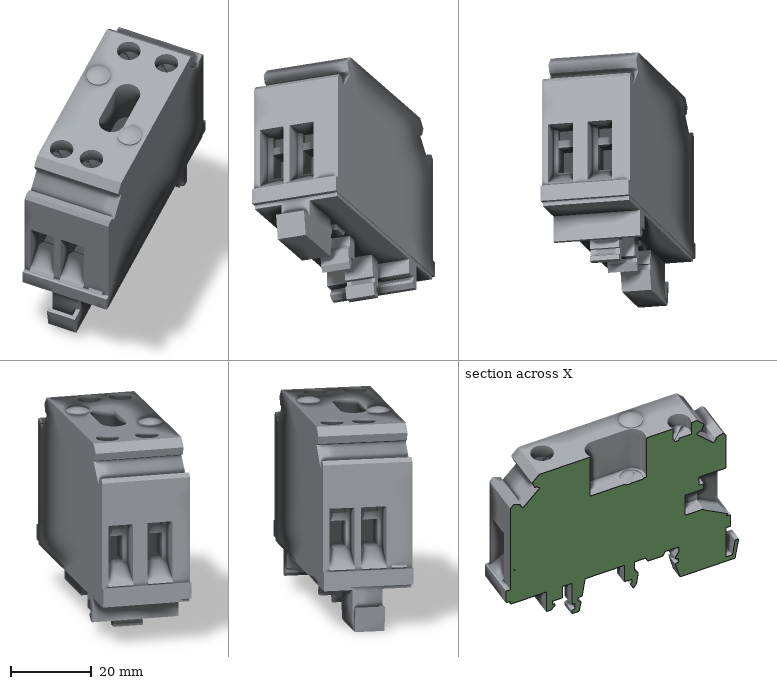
import cadquery as cq

overall_length = 64.75

width = 22.55
body_half_length = 30.0
top_z = 39.95
base_side_inset = 0.2
flange_half_length = 31.2
flange_bottom_z = 1.05
flange_top_z = 5.0

lip_reach = 0.65
lip_root_reach = 0.1
lip_tip_z = 5.4
lip_top_z = 5.9

terminal_width = 6.35
front_terminals_x = (-6.55, 1.5)
rear_terminals_x = (-3.55, 6.55)
side_lip_x = 7.9
side_lip_width = 3.7

entry_top_z = 20.85
entry_mouth_depth = 5.3
entry_throat_depth = 6.2
entry_side_taper = 1.0
entry_floor_end_z = 9.6
throat_width = terminal_width - 2 * entry_side_taper
clamp_bottom_z = 9.9
clamp_top_z = 16.4
clamp_depth = 5.2
relief_bottom_z = 18.25
relief_depth = 1.3

screw_y = 17.75
screw_diameter = 5.8
screw_depth = 3.8
driver_slot_length = 5.5
driver_slot_width = 0.7
driver_slot_depth = 0.65
driver_slot_angle = -45

opening_x = 1.5
opening_length = 16.2
opening_width = 6.5
opening_depth = 12.95
adjuster_y = -4.4
adjuster_recess = 0.3
adjuster_slot_length = 4.65
adjuster_slot_width = 1.2
adjuster_slot_depth = 0.2

button_offset = 7.3
button_radius = 3.0
button_rim = 0.4
button_height = 1.15

hook_min_x = -3.8
hook_max_x = 3.7
hook_end_wall = 1.05
foot_bottom_z = -10.1
hook_tip_y = flange_half_length - overall_length
hook_tip_z = -3.95
pull_slot_bottom_z = -8.55


def prism(points, x_min, x_max):
    """Extrude a (Y, Z) outline along X."""
    return cq.Workplane("YZ").workplane(offset=x_min).polyline(points).close().extrude(x_max - x_min)


def box(x_min, x_max, y_min, y_max, z_min, z_max):
    return (
        cq.Workplane("XY")
        .box(x_max - x_min, y_max - y_min, z_max - z_min, centered=False)
        .translate((x_min, y_min, z_min))
    )


def make_body():
    half_outline = [
        (flange_half_length, flange_bottom_z),
        (flange_half_length, flange_top_z),
        (body_half_length, flange_top_z),
        (body_half_length, 31.85),
        (29.1, 32.85),
        (26.9, 32.05),
        (27.25, 31.75),
        (26.4, 30.75),
        (21.9, 35.35),
        (22.7, 36.1),
        (23.1, 35.8),
        (23.95, 37.9),
        (21.95, top_z),
    ]
    mirrored = [(-y, z) for y, z in reversed(half_outline)]
    main = prism(half_outline + mirrored, -width / 2, width / 2)
    base_x = width / 2 - base_side_inset
    base = box(-base_x, base_x, -body_half_length, body_half_length, 0, flange_bottom_z)
    return main.union(base)


def make_lip(x, lip_width, rear=False):
    outline = [
        (-body_half_length, flange_top_z),
        (-body_half_length - lip_root_reach, flange_top_z),
        (-body_half_length - lip_reach, lip_tip_z),
        (-body_half_length, lip_top_z),
    ]
    if rear:
        outline = [(-y, z) for y, z in outline]
    return prism(outline, x - lip_width / 2, x + lip_width / 2)


def make_wire_entry(x, rear=False):
    """Cutter for one wire entry; front entries open towards -Y."""
    face_y = -body_half_length
    mouth_y = face_y + entry_mouth_depth
    throat_y = face_y + entry_throat_depth
    half_mouth = terminal_width / 2
    half_throat = throat_width / 2
    side_profile = prism(
        [
            (face_y, lip_top_z),
            (throat_y, entry_floor_end_z),
            (throat_y, entry_top_z),
            (face_y, entry_top_z),
        ],
        -half_mouth,
        half_mouth,
    )
    plan = (
        cq.Workplane("XY")
        .polyline(
            [
                (-half_mouth, face_y),
                (half_mouth, face_y),
                (half_mouth, mouth_y),
                (half_throat, throat_y),
                (-half_throat, throat_y),
                (-half_mouth, mouth_y),
            ]
        )
        .close()
        .extrude(entry_top_z)
    )
    clamp = box(-half_throat, half_throat, throat_y, throat_y + clamp_depth, clamp_bottom_z, clamp_top_z)
    relief = box(-half_throat, half_throat, throat_y, throat_y + relief_depth, relief_bottom_z, entry_top_z)
    entry = side_profile.intersect(plan).union(clamp).union(relief)
    if rear:
        entry = entry.mirror("XZ")
    return entry.translate((x, 0, 0))


def make_screw_hole(x, y):
    """Cutter for a screw hole whose floor is the slotted screw head."""
    floor_z = top_z - screw_depth
    hole = cq.Workplane("XY").circle(screw_diameter / 2).extrude(screw_depth)
    slot = (
        cq.Workplane("XY")
        .rect(driver_slot_length, driver_slot_width)
        .extrude(-driver_slot_depth)
        .rotate((0, 0, 0), (0, 0, 1), driver_slot_angle)
    )
    return hole.union(slot).translate((x, y, floor_z))


def make_opening():
    """Cutter for the long opening, the adjusting screw and its V-shaped driver slot."""
    floor_z = top_z - opening_depth
    opening = cq.Workplane("XY").slot2D(opening_length, opening_width, 90).extrude(opening_depth)
    recess = (
        cq.Workplane("XY")
        .center(0, adjuster_y)
        .circle(screw_diameter / 2)
        .extrude(-adjuster_recess)
    )
    half_slot = adjuster_slot_width / 2
    driver_slot = (
        prism(
            [(-half_slot, 0), (half_slot, 0), (0, -adjuster_slot_depth)],
            -adjuster_slot_length / 2,
            adjuster_slot_length / 2,
        )
        .rotate((0, 0, 0), (0, 0, 1), driver_slot_angle)
        .translate((0, adjuster_y, -adjuster_recess))
    )
    return opening.union(recess).union(driver_slot).translate((opening_x, 0, floor_z))


def make_button(x, y):
    """Low cylinder capped by a spherical dome."""
    rise = button_height - button_rim
    dome_radius = (button_radius**2 + rise**2) / (2 * rise)
    profile = (
        cq.Workplane("XZ")
        .lineTo(button_radius, 0)
        .lineTo(button_radius, button_rim)
        .radiusArc((0, button_height), -dome_radius)
        .close()
    )
    return profile.revolve(360, (0, 0, 0), (0, 1, 0)).translate((x, y, top_z))


def make_hook_block():
    outline = [
        (-16.85, 0),
        (-16.85, -1.35),
        (-15.8, -3.05),
        (-15.8, -3.75),
        (-16.65, -3.75),
        (-16.65, -4.85),
        (-15.8, -5.1),
        (-17.1, foot_bottom_z),
        (-32.5, foot_bottom_z),
        (hook_tip_y, hook_tip_z),
        (-body_half_length, hook_tip_z),
        (-body_half_length, 0),
    ]
    pull_slot = [
        (-body_half_length, hook_tip_z),
        (-32.45, hook_tip_z),
        (-31.7, pull_slot_bottom_z),
        (-body_half_length, pull_slot_bottom_z),
    ]
    block = prism(outline, hook_min_x, hook_max_x)
    return block.cut(prism(pull_slot, hook_min_x, hook_max_x - hook_end_wall))


def make_rail_clips():
    fixed_claw = [
        (20.0, 0), (20.0, -6.5), (18.7, -6.5), (17.5, -5.45), (17.5, -4.7),
        (18.2, -4.7), (18.2, -3.75), (15.4, -3.75), (15.4, 0),
    ]
    long_clip = [
        (12.95, 0), (12.95, -7.05), (12.05, -7.05), (12.05, -8.6), (12.95, -8.95), (12.95, foot_bottom_z),
        (10.8, foot_bottom_z), (10.2, -6.9), (11.1, -6.5), (11.1, -5.45), (10.0, -5.45), (9.1, 0),
    ]
    barbed_clip = [
        (-1.6, 0), (-1.6, -5.45), (-3.8, -5.45), (-3.8, -6.5), (-3.3, -6.8), (-4.3, -8.6),
        (-5.2, -7.2), (-5.65, -3.9), (-4.6, -2.65), (-4.6, 0),
    ]
    stop_pad = [(-7.6, 0), (-8.3, -1.2), (-12.45, -1.2), (-13.1, 0)]

    claw_x = width / 2 - base_side_inset
    clips = prism(fixed_claw, -claw_x, claw_x)
    for outline in (long_clip, barbed_clip, stop_pad):
        clips = clips.union(prism(outline, hook_min_x, hook_max_x))
    return clips


result = make_body().union(make_hook_block()).union(make_rail_clips())

for terminals_x, is_rear in ((front_terminals_x, False), (rear_terminals_x, True)):
    for terminal_x in terminals_x:
        result = result.union(make_lip(terminal_x, terminal_width, is_rear))
        result = result.cut(make_wire_entry(terminal_x, is_rear))
        result = result.cut(make_screw_hole(terminal_x, screw_y if is_rear else -screw_y))
result = result.union(make_lip(side_lip_x, side_lip_width))

result = result.cut(make_opening())
for side in (-1, 1):
    result = result.union(make_button(side * button_offset, -side * button_offset))